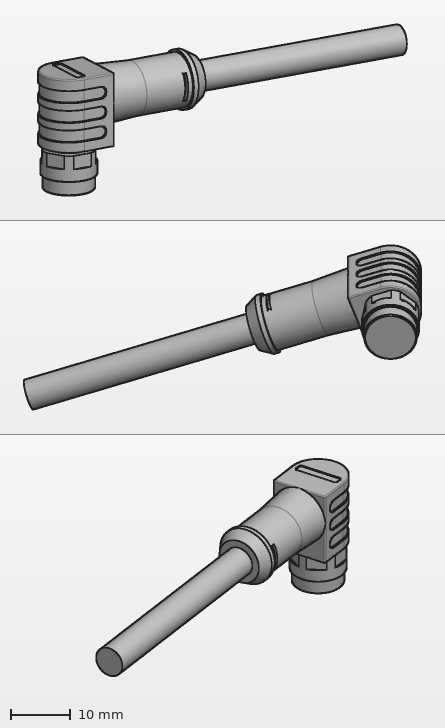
import cadquery as cq
import math


head_width = 10.3
head_radius = head_width / 2
overall_height = 20.7
head_top = head_radius
head_bottom = -7.75
head_back = 5.8
head_edge_radius = 0.2

groove_floor_width = 1.95
groove_floor_end = 4.15
groove_depth = 0.2
groove_wall_angle = 30
groove_pitch = 3.45
first_groove_height = 2.1
groove_count = 3

label_length = 8.25
label_width = 1.7
label_corner = 0.4
label_depth = 0.2

overall_length = 69.3
cable_end = overall_length - head_radius
cable_radius = 2.6
sleeve_diameter = 9.5
sleeve_radius = sleeve_diameter / 2
taper_large_radius = head_radius
taper_end = 12.35
collar_start = 21.3
collar_cone_start = 22.2
sleeve_end = 24.25
collar_radius = head_radius
sleeve_end_radius = 3.95
taper_start = head_back - head_edge_radius

notch_center = 20.1
notch_width = 0.6
notch_height = 4.85
notch_floor_radius = 3.95

neck_radius = 3.3
nut_top = -8.4
nut_diameter = 9.6
nut_radius = nut_diameter / 2
nut_chamfer = 0.15
nut_bottom = -13.0
rim_diameter = 8.9
rim_radius = rim_diameter / 2
rim_bottom = head_top - overall_height
rim_chamfer = 0.2
flat_count = 6
flat_distance = 4.5
flat_bottom = -10.75


def head_prism(radius, back, bottom, height):
    """Upright prism with a half-round front and a square back."""
    return (
        cq.Workplane("XY", origin=(0, 0, bottom))
        .moveTo(-radius, back)
        .lineTo(-radius, 0)
        .threePointArc((0, -radius), (radius, 0))
        .lineTo(radius, back)
        .close()
        .extrude(height)
    )


def make_head():
    head = head_prism(head_radius, head_back, head_bottom, head_top - head_bottom)
    return head.faces("<Z or >Z or >Y").edges().fillet(head_edge_radius)


def make_groove(height):
    """Shallow band around the head front, with sloped walls and rounded side ends."""
    floor_radius = head_radius - groove_depth
    half_floor = groove_floor_width / 2
    half_mouth = half_floor + groove_depth * math.tan(math.radians(groove_wall_angle))
    front_band = (
        cq.Workplane("XZ")
        .moveTo(floor_radius, height - half_floor)
        .lineTo(head_radius, height - half_mouth)
        .lineTo(head_radius, height + half_mouth)
        .lineTo(floor_radius, height + half_floor)
        .close()
        .revolve(180, (0, 0, 0), (0, -1, 0))
    )
    side_slot = (
        cq.Workplane("YZ", origin=(floor_radius, 0, height))
        .slot2D(2 * groove_floor_end, groove_floor_width)
        .extrude(groove_depth, taper=-groove_wall_angle)
    )
    rear_half = cq.Workplane("XY", origin=(0, head_back / 2, height)).box(
        2 * head_width, head_back, 2 * groove_floor_width
    )
    side_slot = side_slot.intersect(rear_half)
    return front_band.union(side_slot).union(side_slot.mirror("YZ"))


def make_label_recess():
    recess = cq.Workplane("XY", origin=(0, 0, head_top - label_depth))
    recess = recess.rect(label_length, label_width).extrude(label_depth)
    return recess.edges("|Z").fillet(label_corner)


def make_sleeve_and_cable():
    """Turned body around the Y axis, started inside the head."""
    profile = (
        cq.Workplane("XY")
        .lineTo(sleeve_radius, 0)
        .lineTo(sleeve_radius, taper_start)
        .lineTo(taper_large_radius, taper_start)
        .lineTo(sleeve_radius, taper_end)
        .lineTo(sleeve_radius, collar_start)
        .lineTo(collar_radius, collar_start)
        .lineTo(collar_radius, collar_cone_start)
        .lineTo(sleeve_end_radius, sleeve_end)
        .lineTo(cable_radius, sleeve_end)
        .lineTo(cable_radius, cable_end)
        .lineTo(0, cable_end)
        .close()
    )
    return profile.revolve(360, (0, 0, 0), (0, 1, 0))


def make_notches():
    """Ring segments on both sides of the sleeve, with a round floor."""
    ring = (
        cq.Workplane("XZ", origin=(0, notch_center + notch_width / 2, 0))
        .circle(collar_radius)
        .circle(notch_floor_radius)
        .extrude(notch_width)
    )
    height_limit = cq.Workplane("XY").box(head_width, 2 * cable_end, notch_height)
    return ring.intersect(height_limit)


def make_plug():
    """Neck, nut and rim turned around the Z axis, started inside the head."""
    profile = (
        cq.Workplane("XZ")
        .lineTo(neck_radius, 0)
        .lineTo(neck_radius, nut_top)
        .lineTo(nut_radius, nut_top)
        .lineTo(nut_radius, nut_bottom + nut_chamfer)
        .lineTo(nut_radius - nut_chamfer, nut_bottom)
        .lineTo(rim_radius, nut_bottom)
        .lineTo(rim_radius, rim_bottom + rim_chamfer)
        .lineTo(rim_radius - rim_chamfer, rim_bottom)
        .lineTo(0, rim_bottom)
        .close()
    )
    plug = profile.revolve(360, (0, 0, 0), (0, 1, 0))
    return plug.cut(make_nut_flats())


def make_nut_flats():
    """Ring around the hexagon that leaves the nut's upper half with six flats."""
    across_corners = 2 * flat_distance / math.cos(math.pi / flat_count)
    ring = cq.Workplane("XY", origin=(0, 0, flat_bottom)).circle(across_corners)
    hexagon = cq.Workplane("XY", origin=(0, 0, flat_bottom)).polygon(flat_count, across_corners)
    height = nut_top - flat_bottom
    hexagon_body = hexagon.extrude(height).rotate((0, 0, 0), (0, 0, 1), 180 / flat_count)
    return ring.extrude(height).cut(hexagon_body)


head = make_head()
for index in range(groove_count):
    head = head.cut(make_groove(first_groove_height - index * groove_pitch))

sleeve = make_sleeve_and_cable().cut(make_notches())

result = head.union(sleeve).union(make_plug()).cut(make_label_recess())